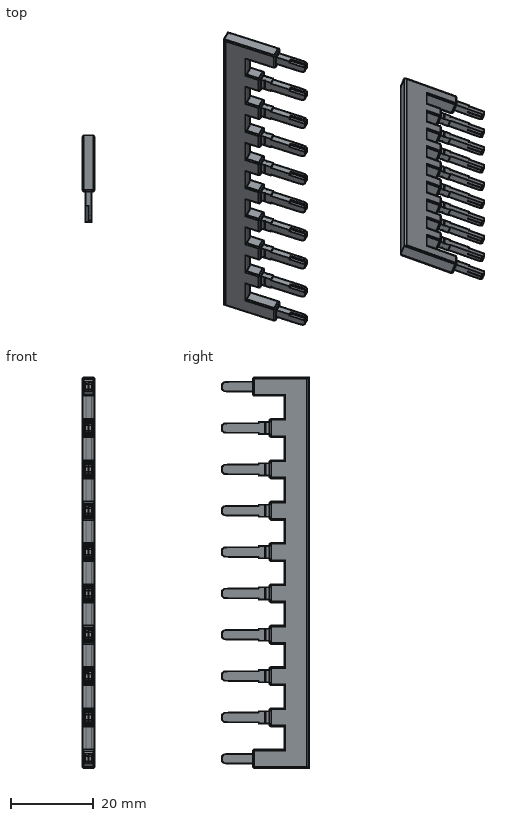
import cadquery as cq


pin_count = 10
pitch = 10.0
tooth_height = 4.5
body_thickness = 3.0
total_depth = 21.07

spine_depth = 6.0
end_tooth_depth = 13.65
inner_tooth_depth = 9.6
shank_end_depth = 12.2

back_chamfer_x = 0.3
back_chamfer_y = 0.55
gap_chamfer_x = 0.8
gap_chamfer_y = 0.25
tooth_chamfer = 0.3
tooth_end_chamfer = 0.4

pin_thickness = 1.5
pin_height = 2.4
shank_height = 3.0
nose_taper_length = 1.7
nose_taper_drop = 0.08
nose_chamfer_length = 0.5
nose_chamfer_drop = 0.5
leaf_step_length = 4.0
leaf_step_drop = 0.45
leaf_gap = 0.08

notch_depth = 0.15
notch_width = 0.3
notch_from_tooth = 1.0

half_body = body_thickness / 2
half_pin = pin_thickness / 2


def pin_level(index):
    """Height of the centre of a pin, the row being centred on Z = 0."""
    return (index - (pin_count - 1) / 2) * pitch


def body_bar(depth, height, front_chamfer_x, front_chamfer_y):
    """Bar standing along Z, with chamfered back and front edges."""
    right_side = [
        (half_body - back_chamfer_x, 0),
        (half_body, -back_chamfer_y),
        (half_body, -depth + front_chamfer_y),
        (half_body - front_chamfer_x, -depth),
    ]
    left_side = [(-x, y) for x, y in reversed(right_side)]
    outline = cq.Workplane("XY").polyline(right_side + left_side).close()
    return outline.extrude(height / 2, both=True)


def make_tooth(depth):
    """Tooth reaching from the back face to the given depth."""
    tooth = body_bar(depth, tooth_height, tooth_chamfer, tooth_end_chamfer)
    envelope = (
        cq.Workplane("XY")
        .box(body_thickness, depth, tooth_height)
        .edges("|Y")
        .chamfer(tooth_chamfer)
        .faces("<Y")
        .edges("<Z or >Z")
        .chamfer(tooth_end_chamfer)
        .translate((0, -depth / 2, 0))
    )
    return tooth.intersect(envelope)


def make_pin():
    """Flat pin with a tapered nose, slit into two leaves, the -X one lower."""
    nose_half = pin_height / 2 - nose_taper_drop
    upper_side = [
        (-spine_depth, pin_height / 2),
        (-total_depth + nose_taper_length, pin_height / 2),
        (-total_depth + nose_chamfer_length, nose_half),
        (-total_depth, nose_half - nose_chamfer_drop),
    ]
    lower_side = [(y, -z) for y, z in reversed(upper_side)]
    outline = cq.Workplane("YZ").polyline(upper_side + lower_side).close()
    pin = outline.extrude(half_pin, both=True)
    leaf_step = cq.Workplane("XY").box(
        half_pin, leaf_step_length, leaf_step_drop, centered=False
    )
    leaf_step = leaf_step.translate(
        (-half_pin, -total_depth, pin_height / 2 - leaf_step_drop)
    )
    slit = cq.Workplane("XY").box(leaf_gap, leaf_step_length, pin_height)
    slit = slit.translate((0, -total_depth + leaf_step_length / 2, 0))
    return pin.cut(leaf_step).cut(slit)


def make_shank():
    """Taller root that widens an inner pin near its tooth."""
    length = shank_end_depth - spine_depth
    shank = cq.Workplane("XY").box(pin_thickness, length, shank_height)
    return shank.translate((0, -spine_depth - length / 2, 0))


def make_notch(side):
    """V-shaped cutter across the shank face on the given side (-1 or +1)."""
    notch_y = -inner_tooth_depth - notch_from_tooth
    return (
        cq.Workplane("XY")
        .moveTo(side * half_pin, notch_y + notch_width / 2)
        .lineTo(side * (half_pin - notch_depth), notch_y)
        .lineTo(side * half_pin, notch_y - notch_width / 2)
        .close()
        .extrude(shank_height / 2, both=True)
    )


end_unit = make_tooth(end_tooth_depth).union(make_pin())
inner_unit = make_tooth(inner_tooth_depth).union(make_shank()).union(make_pin())
for side in (-1, 1):
    inner_unit = inner_unit.cut(make_notch(side))

spine_height = (pin_count - 1) * pitch
result = body_bar(spine_depth, spine_height, gap_chamfer_x, gap_chamfer_y)
for index in range(pin_count):
    is_end = index in (0, pin_count - 1)
    unit = end_unit if is_end else inner_unit
    result = result.union(unit.translate((0, 0, pin_level(index))))